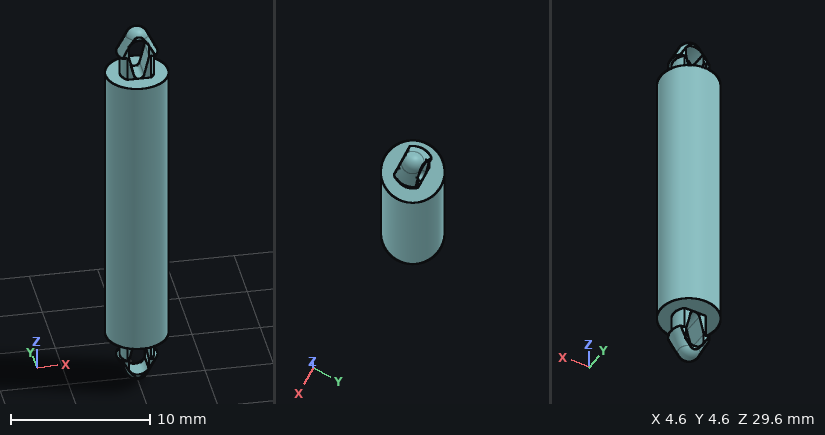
import cadquery as cq
import math

body_diameter = 4.6
overall_length = 29.6
pin_length = 3.8
body_length = overall_length - 2 * pin_length

stem_radius = 1.25
stem_thickness = 1.8
barb_height = 1.8
barb_radius = 1.5
dome_base_height = 3.2
dome_base_radius = 0.82

head_base_thickness = stem_thickness
head_tip_thickness = 1.38

slot_foot_radius = 0.38
slot_half_width = 0.73
slot_flare_height = barb_height
slot_crown_radius = 0.82
slot_top_height = 3.1


def make_stem():
    """Round stem with two flats, standing on Z = 0."""
    stem = cq.Workplane("XY").circle(stem_radius).extrude(barb_height)
    flats = cq.Workplane("XY").rect(2 * stem_radius, stem_thickness).extrude(barb_height)
    return stem.intersect(flats)


def make_head():
    """Conical barb with a spherical tip, trimmed by two leaning flats."""
    cap_height = pin_length - dome_base_height
    dome_radius = (dome_base_radius**2 + cap_height**2) / (2 * cap_height)
    dome_centre = pin_length - dome_radius
    half_angle = math.asin(dome_base_radius / dome_radius) / 2
    dome_middle = (
        dome_radius * math.sin(half_angle),
        dome_centre + dome_radius * math.cos(half_angle),
    )
    head = (
        cq.Workplane("XZ")
        .moveTo(0, barb_height)
        .lineTo(barb_radius, barb_height)
        .lineTo(dome_base_radius, dome_base_height)
        .threePointArc(dome_middle, (0, pin_length))
        .close()
        .revolve(360, (0, 0, 0), (0, 1, 0))
    )
    flats = (
        cq.Workplane("YZ")
        .polyline([
            (-head_base_thickness / 2, barb_height),
            (head_base_thickness / 2, barb_height),
            (head_tip_thickness / 2, pin_length),
            (-head_tip_thickness / 2, pin_length),
        ])
        .close()
        .extrude(barb_radius, both=True)
    )
    return head.intersect(flats)


def make_slot():
    """Cutter for the teardrop slot that leaves two springy legs."""
    flare_rise = slot_flare_height - slot_foot_radius
    flare_reach = math.hypot(slot_half_width, flare_rise)
    lean = math.acos(slot_foot_radius / flare_reach) - math.atan2(flare_rise, slot_half_width)
    foot_x = slot_foot_radius * math.cos(lean)
    foot_z = slot_foot_radius * (1 - math.sin(lean))
    crown_centre = slot_top_height - slot_crown_radius
    crown_z = crown_centre + math.sqrt(slot_crown_radius**2 - slot_half_width**2)
    return (
        cq.Workplane("XZ")
        .moveTo(foot_x, foot_z)
        .lineTo(slot_half_width, slot_flare_height)
        .lineTo(slot_half_width, crown_z)
        .threePointArc((0, slot_top_height), (-slot_half_width, crown_z))
        .lineTo(-slot_half_width, slot_flare_height)
        .lineTo(-foot_x, foot_z)
        .threePointArc((0, 0), (foot_x, foot_z))
        .close()
        .extrude(stem_thickness, both=True)
    )


def make_pin():
    """Complete snap pin standing on Z = 0."""
    return make_stem().union(make_head()).cut(make_slot())


body = cq.Workplane("XY").workplane(offset=-body_length / 2).circle(body_diameter / 2).extrude(body_length)
top_pin = make_pin().translate((0, 0, body_length / 2))
bottom_pin = top_pin.mirror("XY")
result = body.union(top_pin).union(bottom_pin)